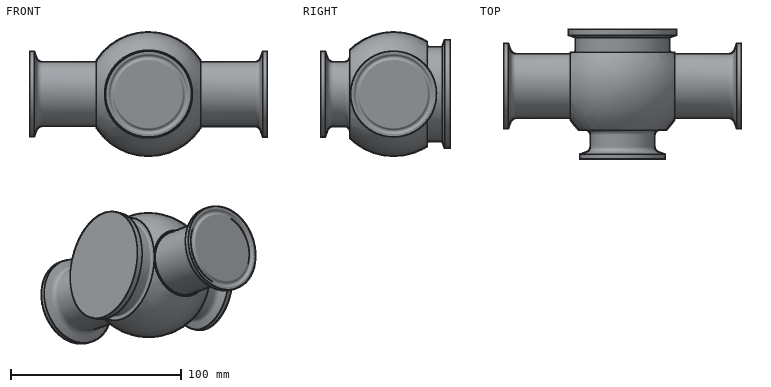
import cadquery as cq
import math

BALL_DIAMETER = 73.0
SIDE_FLAT = 30.6
FRONT_FLAT = 25.8
BACK_FLAT = 19.8

SIDE_REACH = 69.8
FRONT_REACH = 42.9
BACK_REACH = 33.4

TUBE_DIAMETER = 38.1
FLANGE_DIAMETER = 50.5
RIM_THICKNESS = 2.8
NECK_RADIUS = 3.1
GROOVE_RADIUS = 21.8
GROOVE_WIDTH = 3.9
GROOVE_FLOOR_RADIUS = 1.3
GROOVE_LIP_RADIUS = 1.0
FRONT_ROOT_FILLET = 2.8

BACK_TUBE_DIAMETER = 55.7
BACK_FLANGE_DIAMETER = 63.8
BACK_RIM_THICKNESS = 3.5
BACK_ROOT_FILLET = 0.8

CONE_ANGLE = math.radians(20)


def ball():
    """Sphere cut flat on both X sides and on both Y sides."""
    sphere = cq.Workplane("XY").sphere(BALL_DIAMETER / 2)
    trim = (
        cq.Workplane("XY")
        .box(2 * SIDE_FLAT, FRONT_FLAT + BACK_FLAT, BALL_DIAMETER)
        .translate((0, (BACK_FLAT - FRONT_FLAT) / 2, 0))
    )
    return sphere.intersect(trim)


def port(reach, flat, tube_diameter, flange_diameter, rim, neck_radius=0, root_fillet=0):
    """Solid port along +Z: tube, sloped flange back and flat rim, ending at z = reach."""
    tube = tube_diameter / 2
    flange = flange_diameter / 2
    cone_end = tube + neck_radius * (1 - math.sin(CONE_ANGLE))
    cone_base = reach - rim - (flange - cone_end) * math.tan(CONE_ANGLE)

    outline = cq.Workplane("XZ").lineTo(tube + root_fillet, 0).lineTo(tube + root_fillet, flat)
    if root_fillet:
        outline = outline.radiusArc((tube, flat + root_fillet), root_fillet)
    if neck_radius:
        neck_start = cone_base - neck_radius * math.cos(CONE_ANGLE)
        outline = outline.lineTo(tube, neck_start).radiusArc((cone_end, cone_base), neck_radius)
    else:
        outline = outline.lineTo(tube, cone_base)
    outline = outline.lineTo(flange, reach - rim).lineTo(flange, reach).lineTo(0, reach).close()
    return outline.revolve(360, (0, 0, 0), (0, 1, 0))


def gasket_groove(reach):
    """Ring sunk into the end face at z = reach: round floor, tangent to rounded lips."""
    half_width = GROOVE_WIDTH / 2
    slope_angle = math.asin(half_width / (GROOVE_FLOOR_RADIUS + GROOVE_LIP_RADIUS))
    floor_half_width = GROOVE_FLOOR_RADIUS * math.sin(slope_angle)
    lip_depth = GROOVE_LIP_RADIUS * (1 - math.cos(slope_angle))
    depth = lip_depth + GROOVE_FLOOR_RADIUS * (1 - math.cos(slope_angle))
    section = (
        cq.Workplane("XZ")
        .moveTo(GROOVE_RADIUS - half_width, reach)
        .radiusArc((GROOVE_RADIUS - floor_half_width, reach - lip_depth), GROOVE_LIP_RADIUS)
        .threePointArc(
            (GROOVE_RADIUS, reach - depth),
            (GROOVE_RADIUS + floor_half_width, reach - lip_depth),
        )
        .radiusArc((GROOVE_RADIUS + half_width, reach), GROOVE_LIP_RADIUS)
        .close()
    )
    return section.revolve(360, (0, 0, 0), (0, 1, 0))


def small_port(reach, flat, root_fillet=0):
    """Grooved clamp ferrule along +Z."""
    ferrule = port(
        reach, flat, TUBE_DIAMETER, FLANGE_DIAMETER, RIM_THICKNESS, NECK_RADIUS, root_fillet
    )
    return ferrule.cut(gasket_groove(reach))


result = ball()

for turn in (-90, 90):
    side_port = small_port(SIDE_REACH, SIDE_FLAT)
    result = result.union(side_port.rotate((0, 0, 0), (0, 1, 0), turn))

front_port = small_port(FRONT_REACH, FRONT_FLAT, FRONT_ROOT_FILLET)
result = result.union(front_port.rotate((0, 0, 0), (1, 0, 0), 90))

back_port = port(
    BACK_REACH,
    BACK_FLAT,
    BACK_TUBE_DIAMETER,
    BACK_FLANGE_DIAMETER,
    BACK_RIM_THICKNESS,
    root_fillet=BACK_ROOT_FILLET,
)
result = result.union(back_port.rotate((0, 0, 0), (1, 0, 0), -90))